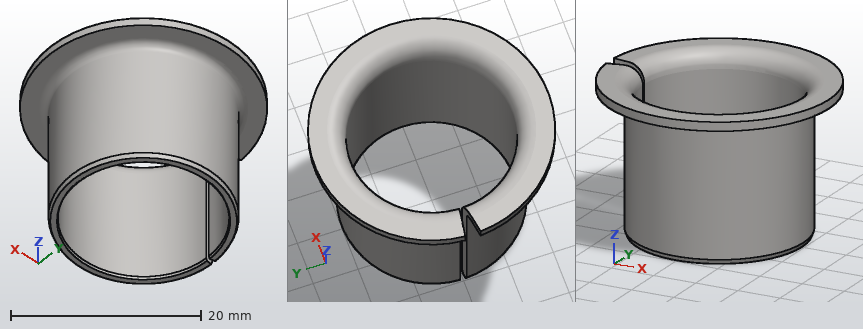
import cadquery as cq
import math

flange_radius = 13.0
total_height = 17.0
bore_radius = 9.0
sleeve_radius = 10.0
flare_radius = 2.0
chamfer_height = 0.55
chamfer_width = 0.2
bore_chamfer_height = 0.3
split_half_angle = 9.5
split_apex_radius = 7.87

wall = sleeve_radius - bore_radius
bore_chamfer_width = bore_chamfer_height * chamfer_width / chamfer_height
bend_centre_radius = bore_radius + flare_radius
bend_centre_z = total_height - flare_radius
outer_bend_radius = flare_radius - wall
bend_cos = math.sqrt(0.5)


def bend_midpoint(radius):
    """Point halfway along a quarter bend between sleeve and flange."""
    return (bend_centre_radius - radius * bend_cos, bend_centre_z + radius * bend_cos)


def flanged_sleeve():
    """Revolve the constant-thickness wall section about Z, starting on the -X side."""
    section = (
        cq.Workplane("XZ")
        .moveTo(bore_radius, bore_chamfer_height)
        .lineTo(bore_radius + bore_chamfer_width, 0)
        .lineTo(sleeve_radius - chamfer_width, 0)
        .lineTo(sleeve_radius, chamfer_height)
        .lineTo(sleeve_radius, bend_centre_z)
        .threePointArc(
            bend_midpoint(outer_bend_radius),
            (bend_centre_radius, bend_centre_z + outer_bend_radius),
        )
        .lineTo(flange_radius, total_height - wall)
        .lineTo(flange_radius, total_height)
        .lineTo(bend_centre_radius, total_height)
        .threePointArc(bend_midpoint(flare_radius), (bore_radius, bend_centre_z))
        .close()
    )
    sleeve = section.revolve(360, (0, 0, 0), (0, 1, 0))
    return sleeve.rotate((0, 0, 0), (0, 0, 1), 180)


def split_wedge():
    """Full-height wedge on the -X side, opening outward from its apex."""
    reach = 2 * flange_radius
    half_width = (reach - split_apex_radius) * math.tan(math.radians(split_half_angle))
    return (
        cq.Workplane("XY")
        .polyline([(-split_apex_radius, 0), (-reach, half_width), (-reach, -half_width)])
        .close()
        .extrude(total_height)
    )


result = flanged_sleeve().cut(split_wedge())